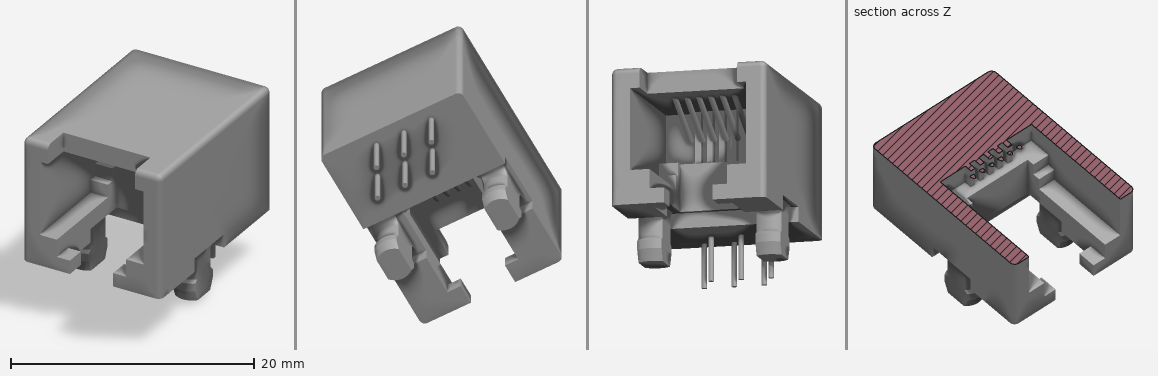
import cadquery as cq
import math


WIDTH = 13.2
LENGTH = 18.0
HEIGHT = 11.52
EDGE_RADIUS = 0.5
FRONT = -LENGTH / 2
BACK = LENGTH / 2

CAVITY_WIDTH = 9.88
ROOF_THICKNESS = 1.76
CEILING_Z = HEIGHT - ROOF_THICKNESS
SHELF_Z = 2.88
STEP_RISE = 1.19
FLOOR_Z = SHELF_Z + 2 * STEP_RISE
SHELF_DEPTH = 8.28
STEP_RUN = 0.72
CAVITY_DEPTH = 11.16
CHANNEL_WIDTH = 6.6
CHANNEL_DEPTH = 9.72
LIP_HEIGHT = 1.26
LIP_DEPTH = 1.78
LIP_GAP = 4.12
ROOF_NOTCH_WIDTH = 8.3
ROOF_NOTCH_DEPTH = 2.5

CONTACT_COUNT = 6
WIRE_DIAMETER = 0.47
CONTACT_PITCH = 1.0
RIB_THICKNESS = 0.49
RIB_DEPTH = 0.72
WIRE_TIP_Z = 7.22
WIRE_TIP_DEPTH = 10.08
WIRE_SLOPE = 28.0
WIRE_EMBEDMENT = 0.54

PIN_DIAMETER = WIRE_DIAMETER
PIN_PITCH = 1.28
PIN_LENGTH = 3.73
PIN_ROW_INSETS = (1.25, 3.82)

POST_X = 4.99
POST_Y = BACK - 10.13
POST_OUTER_FLAT = 1.12
POST_INNER_FLAT = 0.99
POST_FLARE_RADIUS = 0.86
NECK_RADIUS = 1.55
BARB_RADIUS = 1.82
POST_TIP_RADIUS = 1.5
NECK_END_Z = -1.45
BARB_TOP_Z = -1.7
BARB_END_Z = -2.43
POST_TIP_Z = -3.45
SLOT_HEIGHT = 1.26
SLOT_WIDTH = 2 * (NECK_RADIUS + POST_FLARE_RADIUS)


def front_pocket(width, depth, bottom, top):
    """Centred block reaching from the front face back to the given depth."""
    block = cq.Workplane("XY").box(width, depth, top - bottom, centered=(True, False, False))
    return block.translate((0, FRONT, bottom))


def centred_row(count, pitch):
    """Positions of evenly spaced items about zero."""
    return [(i - (count - 1) / 2) * pitch for i in range(count)]


def make_cross_slot():
    """Slot across the underside that gives the posts their flared roots."""
    slot = cq.Workplane("XY").box(WIDTH, SLOT_WIDTH, SLOT_HEIGHT, centered=(True, True, False))
    return slot.translate((0, POST_Y, 0))


def make_housing():
    block = cq.Workplane("XY").box(WIDTH, LENGTH, HEIGHT, centered=(True, True, False))
    return block.edges("|Z or >Z").fillet(EDGE_RADIUS)


def make_cavity():
    step_z = SHELF_Z + STEP_RISE
    cavity = front_pocket(CAVITY_WIDTH, SHELF_DEPTH, SHELF_Z, CEILING_Z)
    cavity = cavity.union(front_pocket(CAVITY_WIDTH, SHELF_DEPTH + STEP_RUN, step_z, CEILING_Z))
    cavity = cavity.union(front_pocket(CAVITY_WIDTH, CAVITY_DEPTH, FLOOR_Z, CEILING_Z))
    cavity = cavity.union(front_pocket(ROOF_NOTCH_WIDTH, ROOF_NOTCH_DEPTH, FLOOR_Z, HEIGHT))
    channel = front_pocket(CHANNEL_WIDTH, CHANNEL_DEPTH, 0, CEILING_Z)
    lips = front_pocket(CHANNEL_WIDTH, LIP_DEPTH, 0, LIP_HEIGHT)
    lip_gap = front_pocket(LIP_GAP, LIP_DEPTH, 0, LIP_HEIGHT)
    return cavity.union(channel.cut(lips.cut(lip_gap)))


def make_ribs():
    """Ribs on the rear wall of the cavity, one in each gap between contact wires."""
    rib_y = FRONT + CAVITY_DEPTH - RIB_DEPTH / 2
    centres = [(x, rib_y) for x in centred_row(CONTACT_COUNT - 1, CONTACT_PITCH)]
    return (
        cq.Workplane("XY").workplane(offset=FLOOR_Z).pushPoints(centres)
        .rect(RIB_THICKNESS, RIB_DEPTH).extrude(CEILING_Z - FLOOR_Z)
    )


def make_wire(x):
    """Contact wire sloping down and back out of the cavity ceiling."""
    slope = math.radians(WIRE_SLOPE)
    length = (CEILING_Z - WIRE_TIP_Z) / math.sin(slope) + WIRE_EMBEDMENT
    tip = cq.Vector(x, FRONT + WIRE_TIP_DEPTH, WIRE_TIP_Z)
    direction = cq.Vector(0, -math.cos(slope), math.sin(slope))
    return cq.Workplane(cq.Solid.makeCylinder(WIRE_DIAMETER / 2, length, tip, direction))


def make_pins():
    centres = [
        (x, BACK - PIN_ROW_INSETS[i % 2])
        for i, x in enumerate(centred_row(CONTACT_COUNT, PIN_PITCH))
    ]
    return cq.Workplane("XY").pushPoints(centres).circle(PIN_DIAMETER / 2).extrude(-PIN_LENGTH)


def make_post():
    """Flared, barbed round post on the -X side, with an outer and an inner flat."""
    flare_start_z = SLOT_HEIGHT - POST_FLARE_RADIUS
    flare_outer = NECK_RADIUS + POST_FLARE_RADIUS
    flare_mid = POST_FLARE_RADIUS * math.sqrt(0.5)
    post = (
        cq.Workplane("XZ")
        .moveTo(0, POST_TIP_Z)
        .lineTo(POST_TIP_RADIUS, POST_TIP_Z)
        .lineTo(BARB_RADIUS, BARB_END_Z)
        .lineTo(BARB_RADIUS, BARB_TOP_Z)
        .lineTo(NECK_RADIUS, NECK_END_Z)
        .lineTo(NECK_RADIUS, flare_start_z)
        .threePointArc((flare_outer - flare_mid, flare_start_z + flare_mid), (flare_outer, SLOT_HEIGHT))
        .lineTo(0, SLOT_HEIGHT)
        .close()
        .revolve(360, (0, 0, 0), (0, 1, 0))
    )
    thickness = POST_OUTER_FLAT + POST_INNER_FLAT
    slab = cq.Workplane("XY").box(thickness, SLOT_WIDTH, 2 * HEIGHT, centered=(False, True, True))
    return post.intersect(slab.translate((-POST_OUTER_FLAT, 0, 0))).translate((-POST_X, POST_Y, 0))


result = make_housing().cut(make_cavity()).cut(make_cross_slot())
result = result.union(make_ribs())
for wire_x in centred_row(CONTACT_COUNT, CONTACT_PITCH):
    result = result.union(make_wire(wire_x))
result = result.union(make_pins())
left_post = make_post()
result = result.union(left_post).union(left_post.mirror("YZ"))